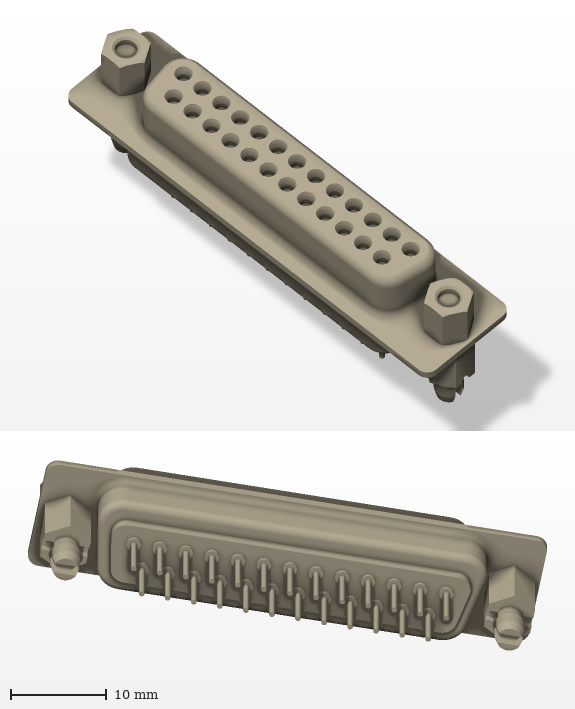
import cadquery as cq
import math


FLANGE_LENGTH = 53.1
FLANGE_WIDTH = 12.55
FLANGE_THICKNESS = 0.9
FLANGE_CORNER = 1.3

SIDE_ANGLE = 10
FLARE_RADIUS = 0.65

SOCKET_TOP = 6.5
SOCKET_MID_WIDTH = 37.9
SOCKET_DEPTH = 7.95
SOCKET_CORNER = 2.55
RIM_RADIUS = 1.2
RIM_TRIM = 0.1

BACK_HEIGHT = 4.15
BACK_MID_WIDTH = 40.25
BACK_DEPTH = 10.8
BACK_CORNER = 2.6
BACK_RADIUS = 0.8

INSERT_BOTTOM = -5.25
INSERT_MID_WIDTH = 37.4
INSERT_DEPTH = 6.95
INSERT_CORNER = 1.55

LONG_ROW_COUNT = 13
PITCH = 2.75
ROW_SPACING = 2.85
CONTACT_BORE_DIAMETER = 1.2
CONTACT_BORE_DEPTH = 1.6
CONTACT_MOUTH_DIAMETER = 1.9
CONTACT_MOUTH_DEPTH = 0.85
COLLAR_DIAMETER = 1.5
COLLAR_HEIGHT = 0.3
PIN_DIAMETER = 0.6
PIN_BOTTOM = -10.35

FASTENER_OFFSET = 23.5
JACK_TOP = 6.0
JACK_FLATS = 4.65
JACK_CORNERS = JACK_FLATS / math.cos(math.pi / 6)
JACK_END_DIAMETER = 4.8
JACK_BEVEL_ANGLE = 30
JACK_HOLE_DIAMETER = 2.4
JACK_MOUTH_DIAMETER = 2.9
JACK_MOUTH_DEPTH = 0.25
JACK_HOLE_DEPTH = 1.0

LOCK_FLATS = 4.9
LOCK_CORNERS = LOCK_FLATS / math.cos(math.pi / 6)
LOCK_HEX_BOTTOM = -6.05
LOCK_NECK_DIAMETER = 2.85
LOCK_BARB_DIAMETER = 3.2
LOCK_TIP_DIAMETER = 2.65
LOCK_BARB_TOP = -7.45
LOCK_TAPER_TOP = -9.1
LOCK_BOTTOM = -10.25
LOCK_SLOT_WIDTH = 1.1
LOCK_SLOT_TOP = -5.25


def d_block(mid_width, depth, corner, z_start, height):
    """Extruded D outline, wider on the +Y side, with rounded corners."""
    lean = depth / 2 * math.tan(math.radians(SIDE_ANGLE))
    wide = mid_width / 2 + lean
    narrow = mid_width / 2 - lean
    half = depth / 2
    outline = [(-narrow, -half), (narrow, -half), (wide, half), (-wide, half)]
    base = cq.Workplane("XY").workplane(offset=z_start)
    block = base.polyline(outline).close().extrude(height)
    return block.edges("|Z").fillet(corner)


def flare_root(body, z):
    """Round the concave edges where a shell leaves the flange face at height z."""
    margin = 0.55
    slack = 0.05
    x_reach = FLANGE_LENGTH / 2 - margin
    y_reach = FLANGE_WIDTH / 2 - margin
    low_corner = (-x_reach, -y_reach, z - slack)
    high_corner = (x_reach, y_reach, z + slack)
    return body.edges(cq.selectors.BoxSelector(low_corner, high_corner)).fillet(FLARE_RADIUS)


def cylinder(diameter, z_low, z_high):
    return cq.Workplane("XY").workplane(offset=z_low).circle(diameter / 2).extrude(z_high - z_low)


def taper(top_diameter, bottom_diameter, z_top, depth):
    """Cone frustum reaching down from z_top."""
    top_point = cq.Vector(0, 0, z_top)
    downward = cq.Vector(0, 0, -1)
    return cq.Workplane(
        cq.Solid.makeCone(top_diameter / 2, bottom_diameter / 2, depth, top_point, downward)
    )


def make_shell():
    flange = cq.Workplane("XY").box(
        FLANGE_LENGTH, FLANGE_WIDTH, FLANGE_THICKNESS, centered=(True, True, False)
    )
    flange = flange.edges("|Z").fillet(FLANGE_CORNER)

    socket_height = SOCKET_TOP - FLANGE_THICKNESS
    socket = d_block(
        SOCKET_MID_WIDTH, SOCKET_DEPTH, SOCKET_CORNER, FLANGE_THICKNESS, socket_height + RIM_TRIM
    )
    socket = socket.faces(">Z").edges().fillet(RIM_RADIUS)
    keep = cq.Workplane("XY").box(
        FLANGE_LENGTH, FLANGE_WIDTH, SOCKET_TOP, centered=(True, True, False)
    )
    socket = socket.intersect(keep)

    back = d_block(BACK_MID_WIDTH, BACK_DEPTH, BACK_CORNER, -BACK_HEIGHT, BACK_HEIGHT)
    back = back.faces("<Z").edges().fillet(BACK_RADIUS)

    body = flare_root(flange.union(socket), FLANGE_THICKNESS)
    body = flare_root(body.union(back), 0)
    insert = d_block(INSERT_MID_WIDTH, INSERT_DEPTH, INSERT_CORNER, INSERT_BOTTOM, -INSERT_BOTTOM)
    return body.union(insert)


def contact_points():
    points = []
    for count, y in ((LONG_ROW_COUNT, ROW_SPACING / 2), (LONG_ROW_COUNT - 1, -ROW_SPACING / 2)):
        for i in range(count):
            points.append((PITCH * (i - (count - 1) / 2), y))
    return points


def make_contact_pin():
    """Solder pin hanging from a collar under the insert."""
    collar_bottom = INSERT_BOTTOM - COLLAR_HEIGHT
    collar = cylinder(COLLAR_DIAMETER, collar_bottom, INSERT_BOTTOM)
    return collar.union(cylinder(PIN_DIAMETER, PIN_BOTTOM, collar_bottom))


def make_contact_hole():
    """Blind bore with a steep tapered mouth."""
    mouth = taper(CONTACT_MOUTH_DIAMETER, CONTACT_BORE_DIAMETER, SOCKET_TOP, CONTACT_MOUTH_DEPTH)
    bore = cylinder(CONTACT_BORE_DIAMETER, SOCKET_TOP - CONTACT_BORE_DEPTH, SOCKET_TOP)
    return mouth.union(bore)


def make_jackscrew():
    """Hexagonal post, corners along X, bevelled at both ends, with a blind hole on top."""
    height = JACK_TOP - FLANGE_THICKNESS
    post = cq.Workplane("XY").workplane(offset=FLANGE_THICKNESS)
    post = post.polygon(6, JACK_CORNERS).extrude(height)
    bevel_width = (JACK_CORNERS - JACK_END_DIAMETER) / 2
    bevel_height = bevel_width * math.tan(math.radians(JACK_BEVEL_ANGLE))
    envelope = cylinder(JACK_CORNERS, FLANGE_THICKNESS, JACK_TOP)
    envelope = envelope.faces(">Z").edges().chamfer(bevel_height, bevel_width)
    envelope = envelope.faces("<Z").edges().chamfer(bevel_height, bevel_width)
    hole = cylinder(JACK_HOLE_DIAMETER, JACK_TOP - JACK_HOLE_DEPTH, JACK_TOP)
    mouth = taper(JACK_MOUTH_DIAMETER, JACK_HOLE_DIAMETER, JACK_TOP, JACK_MOUTH_DEPTH)
    return post.intersect(envelope).cut(hole).cut(mouth)


def make_board_lock():
    """Hexagonal post, corners along Y, ending in a slotted snap-in barb."""
    post = cq.Workplane("XY").polygon(6, LOCK_CORNERS).extrude(LOCK_HEX_BOTTOM)
    post = post.rotate((0, 0, 0), (0, 0, 1), 30)
    peg_profile = [
        (0, LOCK_HEX_BOTTOM),
        (LOCK_NECK_DIAMETER / 2, LOCK_HEX_BOTTOM),
        (LOCK_NECK_DIAMETER / 2, LOCK_BARB_TOP),
        (LOCK_BARB_DIAMETER / 2, LOCK_BARB_TOP),
        (LOCK_BARB_DIAMETER / 2, LOCK_TAPER_TOP),
        (LOCK_TIP_DIAMETER / 2, LOCK_BOTTOM),
        (0, LOCK_BOTTOM),
    ]
    peg = cq.Workplane("XZ").polyline(peg_profile).close().revolve(360, (0, 0), (0, 1))
    slot = cq.Workplane("XY").workplane(offset=LOCK_BOTTOM)
    slot = slot.rect(2 * LOCK_CORNERS, LOCK_SLOT_WIDTH).extrude(LOCK_SLOT_TOP - LOCK_BOTTOM)
    return post.union(peg).cut(slot)


result = make_shell()

contact_sites = cq.Workplane("XY").pushPoints(contact_points())
result = result.union(contact_sites.eachpoint(make_contact_pin().val()))
result = result.cut(contact_sites.eachpoint(make_contact_hole().val()))

fastener = make_jackscrew().union(make_board_lock())
for x in (-FASTENER_OFFSET, FASTENER_OFFSET):
    result = result.union(fastener.translate((x, 0, 0)))